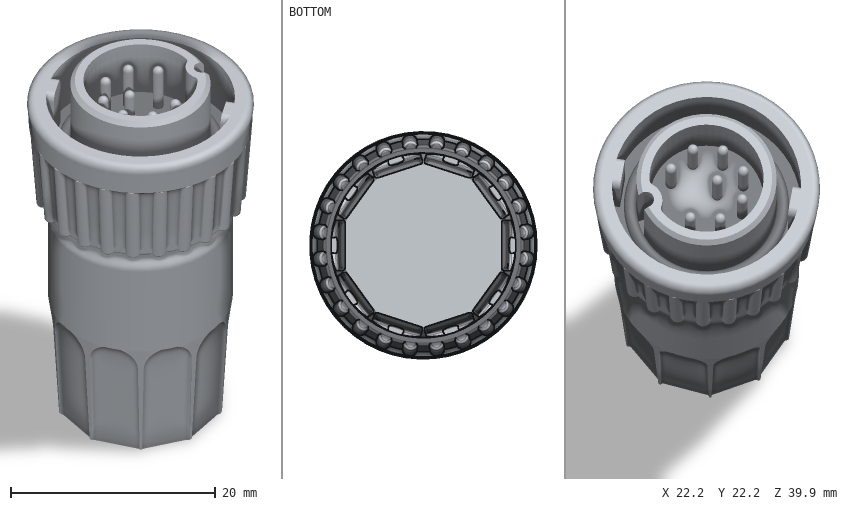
import cadquery as cq
import math


total_height = 39.88
nut_top = 37.73
rim_edge = 36.93
rim_bottom = 34.45
grip_top = 33.98
nut_bottom = 25.75
shell_top = 24.1
grip_end = 13.1
nut_floor = 32.02
plug_floor = 33.9

shell_radius = 9.05
shell_round = 1.0
grip_top_radius = 9.0
grip_bottom_radius = 8.35
grip_bottom_round = 0.35
flat_count = 10
flat_depth = 0.68
flat_half_width = 2.47
flat_arch_height = 10.75
flat_floor_round = 0.28
neck_radius = 7.6

rim_top_radius = 11.05
rim_bottom_radius = 10.93
lip_diameter = 22.2
lip_radius = lip_diameter / 2
lip_land = 0.05
nut_bore_radius = 9.25
rib_count = 24
rib_radius = 0.75
rib_height = 0.5
rib_top_reach = 10.93
rib_bottom_reach = 10.33
nut_bottom_round = 0.28

key_angles = (60.0, 240.0)
key_width = 3.1
key_inner_distance = 8.35
key_round = 0.75

ring_outer_radius = 8.1

plug_radius = 6.85
plug_bore_radius = 5.6
plug_chamfer = 0.45
slot_radius = 0.8
slot_center = 6.35
slot_wall_radius = 1.9
slot_wall_center = 6.65
slot_wall_blend = 0.6

pin_radius = 0.5
pin_top = 38.75
pin_circle_radius = 3.83
pin_step = 45.0
pin_count = 7
first_pin_angle = 135.0
middle_pin_offset = 1.1

grip_taper = math.degrees(math.atan((grip_top_radius - grip_bottom_radius) / grip_end))
rib_taper = math.degrees(math.atan((rib_top_reach - rib_bottom_reach) / (rim_bottom - nut_bottom)))


def cylinder(radius, bottom, top):
    return cq.Workplane("XY").workplane(offset=bottom).circle(radius).extrude(top - bottom)


def cone(bottom_radius, top_radius, bottom, top):
    outline = [(0, bottom), (bottom_radius, bottom), (top_radius, top), (0, top)]
    return cq.Workplane("XZ").polyline(outline).close().revolve(360, (0, 0), (0, 1))


def around_axis(body, angle):
    return body.rotate((0, 0, 0), (0, 0, 1), angle)


def make_flat_cutter():
    """Arched pocket facing +X, leaning with the grip and open at the cable end."""
    overrun = 2.0
    floor_distance = grip_bottom_radius - flat_depth
    cutter_depth = grip_top_radius - floor_distance + overrun
    cutter = (
        cq.Workplane("YZ")
        .workplane(offset=floor_distance)
        .moveTo(-flat_half_width, -overrun)
        .lineTo(flat_half_width, -overrun)
        .lineTo(flat_half_width, flat_arch_height)
        .threePointArc((0, flat_arch_height + flat_half_width), (-flat_half_width, flat_arch_height))
        .close()
        .extrude(cutter_depth)
        .faces("<X")
        .edges()
        .fillet(flat_floor_round)
    )
    return cutter.rotate((floor_distance, 0, 0), (floor_distance, 1, 0), grip_taper)


def make_back_shell():
    shell = cylinder(shell_radius, grip_end, shell_top).faces(">Z").edges().fillet(shell_round)
    grip = cone(grip_bottom_radius, grip_top_radius, 0, grip_end)
    grip = grip.faces("<Z").edges().fillet(grip_bottom_round)
    cutter = make_flat_cutter()
    for index in range(flat_count):
        grip = grip.cut(around_axis(cutter, index * 360 / flat_count))
    neck = cylinder(neck_radius, shell_top, nut_bottom)
    return shell.union(grip).union(neck)


def make_rib():
    """Round bar along the nut's tapered side on the +X side."""
    axis_radius = rib_bottom_reach - rib_radius
    return (
        cylinder(rib_radius, nut_bottom, rim_bottom)
        .faces("<Z")
        .edges()
        .fillet(nut_bottom_round)
        .translate((axis_radius, 0, 0))
        .rotate((axis_radius, 0, nut_bottom), (axis_radius, 1, nut_bottom), rib_taper)
    )


def make_key():
    """Inward key on the +X side of the nut bore, rounded at both top corners."""
    key_length = (nut_bore_radius + lip_radius) / 2 - key_inner_distance
    key_height = nut_top - nut_floor
    return (
        cq.Workplane("XY")
        .box(key_length, key_width, key_height, centered=(False, True, False))
        .edges("|X and >Z")
        .fillet(key_round)
        .translate((key_inner_distance, 0, nut_floor))
    )


def make_coupling_nut():
    core_top_radius = rib_top_reach - rib_height
    core_bottom_radius = rib_bottom_reach - rib_height
    core = cone(core_bottom_radius, core_top_radius, nut_bottom, grip_top)
    core = core.faces("<Z").edges().fillet(nut_bottom_round)
    underside = cone(core_top_radius, rim_bottom_radius, grip_top, rim_bottom)
    rim = cone(rim_bottom_radius, rim_top_radius, rim_bottom, rim_edge)
    lip_round = nut_top - rim_edge - lip_land
    lip = cylinder(lip_radius, rim_edge, nut_top).faces(">Z").edges().fillet(lip_round)
    nut = core.add(underside).add(rim).add(lip)
    rib = make_rib()
    rib_step = 360 / rib_count
    for index in range(rib_count):
        nut = nut.add(around_axis(rib, rib_step / 2 + index * rib_step))
    nut = nut.combine().cut(cylinder(nut_bore_radius, nut_floor, nut_top))
    for angle in key_angles:
        nut = nut.union(around_axis(make_key(), angle))
    return nut


def make_sealing_ring():
    ring_radius = (ring_outer_radius - plug_radius) / 2
    center = plug_radius + ring_radius
    return (
        cq.Workplane("XZ")
        .center(center, nut_floor)
        .circle(ring_radius)
        .revolve(360, (-center, 0), (-center, 1))
    )


def make_plug():
    """Hollow plug with a keyway slot on +Y and a thickened wall around it."""
    plug = cylinder(plug_radius, nut_floor, total_height).faces(">Z").edges().chamfer(plug_chamfer)
    slot_wall = cylinder(slot_wall_radius, plug_floor, total_height).translate((0, slot_wall_center, 0))
    cavity = cylinder(plug_bore_radius, plug_floor, total_height).cut(slot_wall)
    cavity = cavity.edges("|Z and >Y").fillet(slot_wall_blend)
    slot_outside = plug_radius - slot_center
    slot_height = total_height - nut_floor
    slot = cylinder(slot_radius, nut_floor, total_height).union(
        cq.Workplane("XY")
        .box(2 * slot_radius, slot_outside, slot_height, centered=(True, False, False))
        .translate((0, 0, nut_floor))
    )
    return plug.cut(cavity).cut(slot.translate((0, slot_center, 0)))


def make_pin(x, y):
    pin = cylinder(pin_radius, plug_floor, pin_top - pin_radius)
    dome = cq.Workplane("XY").sphere(pin_radius).translate((0, 0, pin_top - pin_radius))
    return pin.union(dome).translate((x, y, 0))


def make_pins():
    pins = make_pin(0, -middle_pin_offset)
    for index in range(pin_count):
        angle = math.radians(first_pin_angle + index * pin_step)
        pins = pins.add(make_pin(pin_circle_radius * math.cos(angle), pin_circle_radius * math.sin(angle)))
    return pins


connector = make_back_shell().add(make_coupling_nut()).add(make_sealing_ring())
connector = connector.add(make_plug()).add(make_pins())
result = connector.combine()